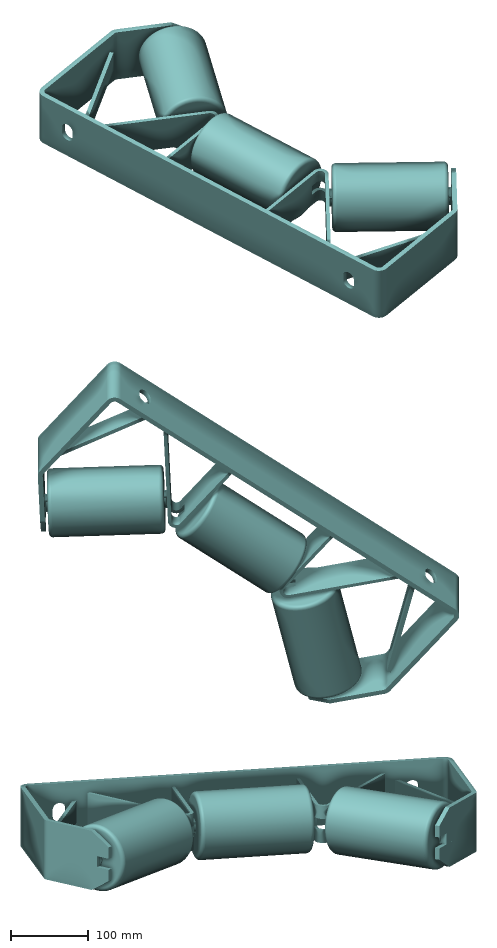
import cadquery as cq
import math

roller_diameter = 89.0
roller_length = 150.0
roller_edge_radius = 5.0
axle_diameter = 20.5
shoulder_gap = 2.0
tang_width = 15.0
tang_depth = 18.0
slot_length = 45.5
side_end_gap = 4.0
middle_end_gap = 5.0
side_seat = roller_length / 2 + side_end_gap
middle_seat = roller_length / 2 + middle_end_gap

middle_roller_y = 99.0
side_roller_x = 171.0
side_roller_y = 161.6
side_tilt = 40.0

frame_length = 570.0
frame_thickness = 6.0
frame_width = 80.0
frame_bend_radius = 12.5
arm_reach = 28.5
tip_width = 45.5
tip_taper_length = 28.0
mounting_slot_x = 232.5
mounting_slot_width = 17.5
mounting_slot_height = 26.0

bracket_thickness = 4.5
bracket_width = 50.0
bracket_bend_radius = 11.0

brace_thickness = 5.0
brace_width = 29.5
brace_foot_x = 215.5
brace_top_y = 144.0

tilt = math.radians(side_tilt)
axis_x, axis_y = math.cos(tilt), -math.sin(tilt)
along_x, along_y = math.sin(tilt), math.cos(tilt)
arm_slope = along_y / along_x


def left_roller_point(axial, along):
    """Point in the XY plane, measured along and across the axis of the left roller."""
    x = -side_roller_x + axial * axis_x + along * along_x
    y = side_roller_y + axial * axis_y + along * along_y
    return x, y


def at_left_roller(shape):
    return shape.rotate((0, 0, 0), (0, 0, 1), -side_tilt).translate((-side_roller_x, side_roller_y, 0))


def at_middle_roller(shape):
    return shape.translate((0, middle_roller_y, 0))


def mirrored(shape):
    return shape.mirror("YZ")


def bent_strip(centre_points, thickness, width, outer_radius):
    """Flat bar following a line of points in the XY plane, with rounded bends."""
    path = cq.Wire.makePolygon([cq.Vector(x, y, 0) for x, y in centre_points])
    bends = path.Vertices()[1:-1]
    path = path.fillet2D(outer_radius - thickness / 2, bends)
    start = cq.Plane(origin=path.startPoint(), xDir=(0, 0, 1), normal=path.tangentAt(0))
    return cq.Workplane(start).rect(width, thickness).sweep(cq.Workplane(path))


def cylinder_along_x(diameter, length):
    return cq.Workplane("YZ", origin=(-length / 2, 0, 0)).circle(diameter / 2).extrude(length)


def roller(seat, left_plate, right_plate):
    """Roller along X whose tangs end flush with the far faces of the plates that hold it."""
    shell = cylinder_along_x(roller_diameter, roller_length).edges().fillet(roller_edge_radius)
    axle = cylinder_along_x(axle_diameter, roller_length + 2 * shoulder_gap)
    left_end = -seat - left_plate
    right_end = seat + right_plate
    tangs = (
        cq.Workplane("XY", origin=(left_end, 0, 0))
        .box(right_end - left_end, tang_depth, tang_width, centered=(False, True, True))
    )
    return shell.union(axle).union(tangs)


def tang_slot(seat):
    """Cutter for the open slot that takes the tang at the +X end of a roller."""
    return (
        cq.Workplane("XY", origin=(seat, -tang_depth / 2, 0))
        .box(bracket_bend_radius, slot_length, tang_width, centered=(False, False, True))
    )


def make_frame():
    wall_x = frame_length / 2 - frame_thickness / 2
    base_y = frame_thickness / 2
    tip = left_roller_point(-side_seat - frame_thickness / 2, arm_reach)
    bend_y = tip[1] - (tip[0] + wall_x) * arm_slope
    left = [tip, (-wall_x, bend_y), (-wall_x, base_y)]
    right = [(-x, y) for x, y in reversed(left)]
    frame = bent_strip(left + right, frame_thickness, frame_width, frame_bend_radius)

    corner = (
        cq.Workplane("YZ", origin=(-side_seat - 2 * frame_thickness, 0, 0))
        .polyline([
            (arm_reach - tip_taper_length, frame_width / 2),
            (arm_reach, frame_width / 2),
            (arm_reach, tip_width / 2),
        ])
        .close()
        .extrude(3 * frame_thickness)
    )
    tip_cuts = corner.union(corner.mirror("XY")).union(mirrored(tang_slot(side_seat)))
    tip_cuts = at_left_roller(tip_cuts)

    mounting_slots = (
        cq.Workplane("XZ")
        .pushPoints([(-mounting_slot_x, 0), (mounting_slot_x, 0)])
        .slot2D(mounting_slot_height, mounting_slot_width, 90)
        .extrude(-frame_thickness)
    )
    return frame.cut(tip_cuts).cut(mirrored(tip_cuts)).cut(mounting_slots)


def make_left_bracket():
    leg_x = -middle_seat - bracket_thickness / 2
    slope_point = left_roller_point(side_seat + bracket_thickness / 2, 0)
    peak_y = slope_point[1] + (leg_x - slope_point[0]) * arm_slope
    foot_y = frame_thickness + bracket_thickness / 2 * along_x
    foot_x = leg_x - (peak_y - foot_y) / arm_slope
    points = [(foot_x, foot_y), (leg_x, peak_y), (leg_x, frame_thickness)]
    bracket = bent_strip(points, bracket_thickness, bracket_width, bracket_bend_radius)
    return bracket.cut(at_left_roller(tang_slot(side_seat))).cut(at_middle_roller(mirrored(tang_slot(middle_seat))))


def make_left_brace():
    wall_x = frame_length / 2 - frame_thickness
    lean = math.atan2(brace_top_y - frame_thickness, wall_x - brace_foot_x)
    points = [
        (-wall_x, brace_top_y),
        (-wall_x + brace_thickness * math.sin(lean), brace_top_y + brace_thickness * math.cos(lean)),
        (-brace_foot_x + brace_thickness / math.sin(lean), frame_thickness),
        (-brace_foot_x, frame_thickness),
    ]
    outline = cq.Workplane("XY", origin=(0, 0, -brace_width / 2)).polyline(points).close()
    return outline.extrude(brace_width)


frame = make_frame()
left_bracket = make_left_bracket()
left_brace = make_left_brace()
left_roller = at_left_roller(roller(side_seat, frame_thickness, bracket_thickness))
middle_roller = at_middle_roller(roller(middle_seat, bracket_thickness, bracket_thickness))

bodies = [frame, middle_roller]
for left_body in (left_roller, left_bracket, left_brace):
    bodies += [left_body, mirrored(left_body)]

result = cq.Compound.makeCompound([body.val() for body in bodies])